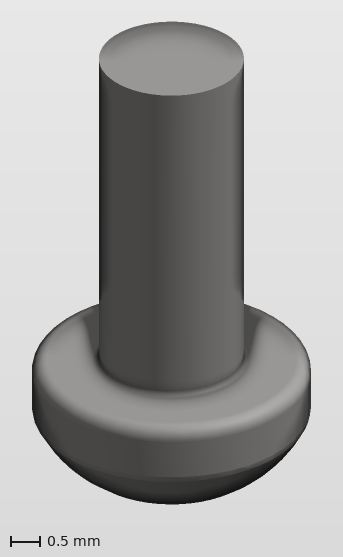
import cadquery as cq

total_height = 8.0
head_diameter = 4.8
head_height = 2.0
shank_diameter = 2.5

end_face_radius = 1.54
dome_height = 1.0
dome_mid_radius = 2.02
dome_mid_height = 0.42
dome_edge_fillet = 0.24
head_rim_fillet = 0.24
shank_root_fillet = 0.1

head_radius = head_diameter / 2
shank_radius = shank_diameter / 2

profile = (
    cq.Workplane("XZ")
    .lineTo(end_face_radius, 0)
    .threePointArc((dome_mid_radius, dome_mid_height), (head_radius, dome_height))
    .lineTo(head_radius, head_height)
    .lineTo(shank_radius, head_height)
    .lineTo(shank_radius, total_height)
    .lineTo(0, total_height)
    .close()
)
body = profile.revolve(360, (0, 0, 0), (0, 1, 0))


def round_edge(solid, radius, height, fillet):
    """Fillet the circular edge of the given radius at the given height."""
    margin = 0.01
    reach = radius + margin
    selector = cq.selectors.BoxSelector(
        (-reach, -reach, height - margin), (reach, reach, height + margin), boundingbox=True
    )
    edges = solid.edges(selector).filter(lambda e: abs(e.radius() - radius) < margin)
    return edges.fillet(fillet)


body = round_edge(body, head_radius, dome_height, dome_edge_fillet)
body = round_edge(body, head_radius, head_height, head_rim_fillet)
result = round_edge(body, shank_radius, head_height, shank_root_fillet)